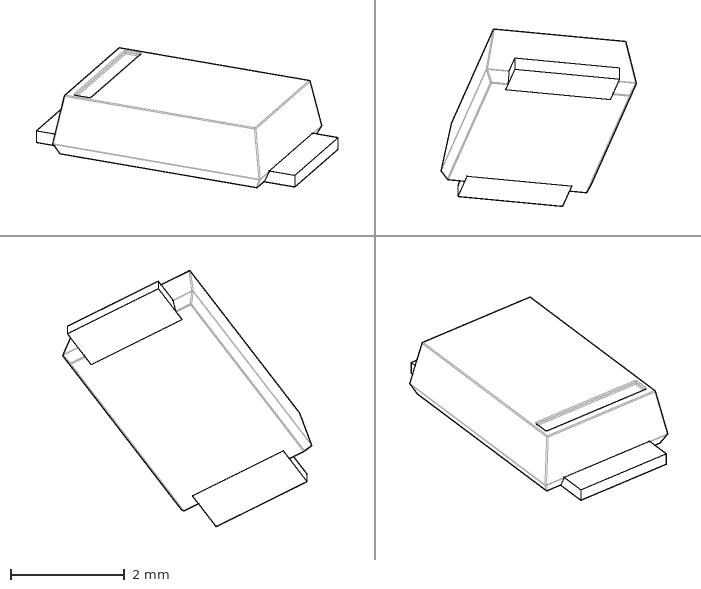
import cadquery as cq
import math

OVERALL_LENGTH = 4.98
BODY_WIDTH = 2.7
BODY_HEIGHT = 1.11

BODY_LENGTH = 4.0
PARTING_HEIGHT = 0.215
UPPER_DRAFT = 10.0
LOWER_DRAFT = 25.0
EDGE_RADIUS = 0.02

HALF_BEND = math.radians((UPPER_DRAFT + LOWER_DRAFT) / 2)
BEND_TILT = math.radians((LOWER_DRAFT - UPPER_DRAFT) / 2)
EDGE_TRIM = EDGE_RADIUS * (math.cos(BEND_TILT) / math.cos(HALF_BEND) - 1)
SHARP_LENGTH = BODY_LENGTH + 2 * EDGE_TRIM
SHARP_WIDTH = BODY_WIDTH + 2 * EDGE_TRIM

MARK_LENGTH = 2.19
MARK_WIDTH = 0.3
MARK_OFFSET = 1.535
MARK_DEPTH = 0.05

LEAD_WIDTH = 1.88
LEAD_THICKNESS = 0.225
LEAD_INNER_X = 1.695
LEAD_LENGTH = OVERALL_LENGTH / 2 - LEAD_INNER_X


def tapered_half(height, draft):
    """Block that narrows away from the parting plane; a negative height goes down."""
    return (
        cq.Workplane("XY", origin=(0, 0, PARTING_HEIGHT))
        .rect(SHARP_LENGTH, SHARP_WIDTH)
        .extrude(height, taper=draft)
    )


def make_shell():
    """Solid housing with every edge rounded."""
    upper = tapered_half(BODY_HEIGHT - PARTING_HEIGHT, UPPER_DRAFT)
    lower = tapered_half(-PARTING_HEIGHT, LOWER_DRAFT)
    return upper.union(lower).edges().fillet(EDGE_RADIUS)


def cut_mark(body):
    """Cut the polarity bar near the -X end, with rounded corners, floor and rim."""
    pocket = (
        cq.Workplane("XY", origin=(-MARK_OFFSET, 0, BODY_HEIGHT - MARK_DEPTH))
        .rect(MARK_WIDTH, MARK_LENGTH)
        .extrude(2 * MARK_DEPTH)
        .edges("|Z or <Z")
        .fillet(EDGE_RADIUS)
    )
    rim_edges = body.cut(pocket).faces(">Z").wires(cq.selectors.AreaNthSelector(0)).edges()
    return rim_edges.fillet(EDGE_RADIUS)


def make_lead(side):
    """Flat terminal at the +X end (side = 1) or the -X end (side = -1)."""
    center_x = side * (LEAD_INNER_X + LEAD_LENGTH / 2)
    return (
        cq.Workplane("XY")
        .center(center_x, 0)
        .rect(LEAD_LENGTH, LEAD_WIDTH)
        .extrude(LEAD_THICKNESS)
    )


def make_housing(leads):
    """Housing with the polarity bar and a fitted recess for each lead."""
    body = cut_mark(make_shell())
    for lead in leads:
        body = body.cut(lead)
    return body


leads = [make_lead(side) for side in (-1, 1)]
housing = make_housing(leads)

result = cq.Compound.makeCompound([housing.val(), *[lead.val() for lead in leads]])